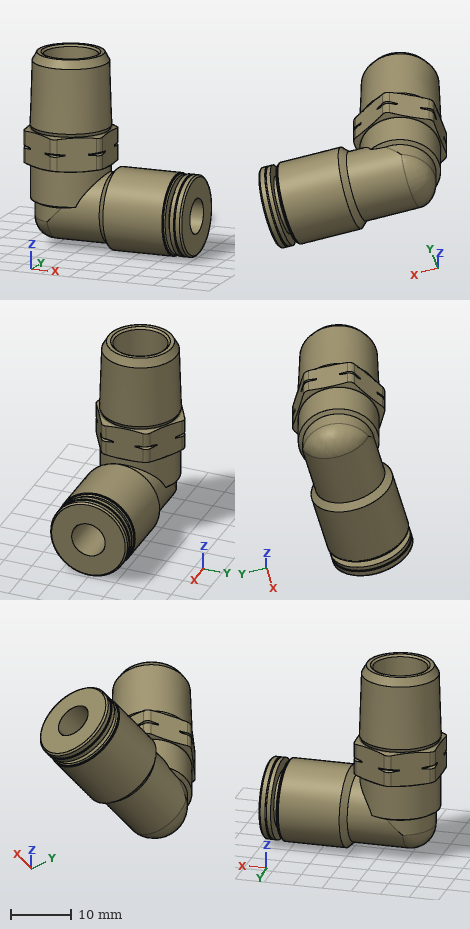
import cadquery as cq
import math


stem_top = 26.0
thread_lead_height = 1.42
thread_bottom = 13.6
hex_top = 13.05
hex_bottom = 7.1
shank_bottom = 1.1
shank_chamfer_height = 0.4

thread_tip_diameter = 11.3
thread_small_diameter = 12.9
thread_large_diameter = 13.6
thread_relief_diameter = 13.15
shank_diameter = 13.4

hex_across_flats = 13.93
hex_across_corners = 15.7
hex_bevel_diameter = 13.6
hex_bevel_drop = 0.25
hex_height = hex_top - hex_bottom
hex_sharp_corners = hex_across_flats / math.cos(math.radians(30))
hex_corner_radius = (hex_sharp_corners - hex_across_corners) / 2 / (1 / math.cos(math.radians(30)) - 1)
notch_depth = 0.63
notch_mouth = 0.53
notch_floor = 0.15

elbow_diameter = 11.9
elbow_radius = elbow_diameter / 2
outer_bend_radius = 3.95
bend_center = outer_bend_radius - elbow_radius

socket_start = 7.45
socket_bevel_end = 8.55
socket_rim = 19.07
rim_lip_width = 0.2
socket_end = 19.5
collar_start = 20.4
collar_end = 22.47
collar_groove_start = 21.12
collar_groove_width = 0.23
collar_groove_depth = 0.1
collar_chamfer = 0.3

socket_diameter = 14.0
rim_lip_diameter = 13.6
rim_end_diameter = 13.2
neck_diameter = 9.9
collar_diameter = 13.8

passage_diameter = 6.0
stem_bore_diameter = 9.15
stem_bore_bottom = hex_bottom
bore_mouth_diameter = 9.9
bore_chamfer_height = 0.33
bore_cone_height = (stem_bore_diameter - passage_diameter) / 2


def turned_on_z(profile):
    """Turn (diameter, z) points into a solid of revolution about Z."""
    points = [(diameter / 2, z) for diameter, z in profile]
    outline = [(0, points[0][1])] + points + [(0, points[-1][1])]
    return cq.Workplane("XZ").polyline(outline).close().revolve(360, (0, 0), (0, 1))


def turned_on_x(profile):
    """Turn (x, diameter) points into a solid of revolution about X."""
    points = [(x, diameter / 2) for x, diameter in profile]
    outline = [(points[0][0], 0)] + points + [(points[-1][0], 0)]
    return cq.Workplane("XZ").polyline(outline).close().revolve(360, (0, 0), (1, 0))


def make_stem():
    """Tapered thread blank above the hexagon and round shank below it."""
    return turned_on_z([
        (elbow_diameter, shank_bottom - shank_chamfer_height),
        (shank_diameter, shank_bottom),
        (shank_diameter, hex_bottom),
        (thread_relief_diameter, hex_bottom),
        (thread_relief_diameter, hex_top),
        (thread_large_diameter, thread_bottom),
        (thread_small_diameter, stem_top - thread_lead_height),
        (thread_tip_diameter, stem_top),
    ])


def make_hexagon():
    """Hexagon with rounded corners, beveled ends and a notch across each corner."""
    prism = (
        cq.Workplane("XY").workplane(offset=hex_bottom)
        .polygon(6, hex_sharp_corners).extrude(hex_height)
        .rotate((0, 0, 0), (0, 0, 1), 30)
        .edges("|Z").fillet(hex_corner_radius)
    )
    bevel = turned_on_z([
        (hex_bevel_diameter, hex_bottom),
        (hex_across_corners, hex_bottom + hex_bevel_drop),
        (hex_across_corners, hex_top - hex_bevel_drop),
        (hex_bevel_diameter, hex_top),
    ])
    middle = (hex_bottom + hex_top) / 2
    corner = hex_across_corners / 2
    notch = (
        cq.Workplane("XZ")
        .polyline([
            (corner, middle - notch_mouth / 2),
            (corner, middle + notch_mouth / 2),
            (corner - notch_depth, middle + notch_floor / 2),
            (corner - notch_depth, middle - notch_floor / 2),
        ])
        .close().revolve(360, (0, 0), (0, 1))
    )
    return prism.intersect(bevel).cut(notch)


def make_elbow():
    """Two mitred cylinders whose outer corner is rounded about an axis along Y."""
    c = bend_center
    r = elbow_radius
    horizontal_zone = (
        cq.Workplane("XZ")
        .polyline([(c, -r), (c, c), (r, r), (socket_start, r), (socket_start, -r)])
        .close().extrude(r, both=True)
    )
    vertical_zone = (
        cq.Workplane("XZ")
        .polyline([(-r, c), (c, c), (r, r), (r, hex_bottom), (-r, hex_bottom)])
        .close().extrude(r, both=True)
    )
    horizontal = cq.Workplane("YZ").workplane(offset=-r).circle(r).extrude(socket_start + r)
    vertical = cq.Workplane("XY").workplane(offset=-r).circle(r).extrude(hex_bottom + r)
    half_chord = math.sqrt(r ** 2 - c ** 2)
    bend = (
        cq.Workplane("XY", origin=(0, 0, c))
        .moveTo(c, -half_chord).threePointArc((-r, 0), (c, half_chord)).close()
        .revolve(90, (c, 0), (c, -1))
    )
    return horizontal.intersect(horizontal_zone).union(vertical.intersect(vertical_zone)).union(bend)


def make_socket():
    """Socket body, release neck and grooved release collar."""
    groove_end = collar_groove_start + collar_groove_width
    groove_diameter = collar_diameter - 2 * collar_groove_depth
    return turned_on_x([
        (socket_start, elbow_diameter),
        (socket_bevel_end, socket_diameter),
        (socket_rim, socket_diameter),
        (socket_rim, rim_lip_diameter),
        (socket_rim + rim_lip_width, rim_lip_diameter),
        (socket_end, rim_end_diameter),
        (socket_end, neck_diameter),
        (collar_start, neck_diameter),
        (collar_start, collar_diameter),
        (collar_groove_start, collar_diameter),
        (collar_groove_start, groove_diameter),
        (groove_end, groove_diameter),
        (groove_end, collar_diameter),
        (collar_end - collar_chamfer, collar_diameter),
        (collar_end, collar_diameter - 2 * collar_chamfer),
    ])


def make_passage():
    """Stepped stem bore meeting the socket bore at a ball-shaped corner."""
    stem_bore = turned_on_z([
        (passage_diameter, 0),
        (passage_diameter, stem_bore_bottom - bore_cone_height),
        (stem_bore_diameter, stem_bore_bottom),
        (stem_bore_diameter, stem_top - bore_chamfer_height),
        (bore_mouth_diameter, stem_top),
    ])
    socket_bore = cq.Workplane("YZ").circle(passage_diameter / 2).extrude(collar_end)
    corner_ball = cq.Workplane("XY").sphere(passage_diameter / 2)
    return stem_bore.union(socket_bore).union(corner_ball)


outside = make_stem().union(make_hexagon()).union(make_elbow()).union(make_socket())
result = outside.cut(make_passage())